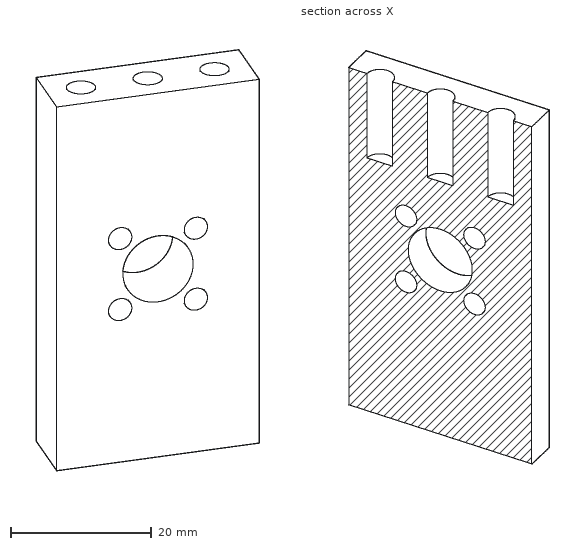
import cadquery as cq

thickness = 10.0
width = 30.3
height = 58.0

bore_diameter = 10.5
bolt_diameter = 3.5
bolt_spacing = 11.3
bore_offset = 1.0
bore_height = height / 2 + bore_offset

top_hole_diameter = 4.2
top_hole_spacing = 10.0
top_hole_depth = 14.5
top_hole_count = 3


def make_block():
    """Plain block centred in X and Y, standing on Z = 0."""
    return cq.Workplane("XY").box(thickness, width, height, centered=(True, True, False))


def cut_bore_pattern(body):
    """Cut the central bore and the square of four bolt holes through the thickness."""
    face = cq.Workplane("YZ", origin=(-thickness / 2, 0, bore_height))
    bore = face.circle(bore_diameter / 2).extrude(thickness)
    bolts = face.rect(bolt_spacing, bolt_spacing, forConstruction=True).vertices()
    bolts = bolts.circle(bolt_diameter / 2).extrude(thickness)
    return body.cut(bore).cut(bolts)


def cut_top_holes(body):
    """Drill a row of flat-bottomed blind holes along Y, down from the top face."""
    row = cq.Workplane("XY", origin=(0, 0, height)).rarray(0.6, top_hole_spacing, 1, top_hole_count)
    return body.cut(row.circle(top_hole_diameter / 2).extrude(-top_hole_depth))


result = cut_top_holes(cut_bore_pattern(make_block()))